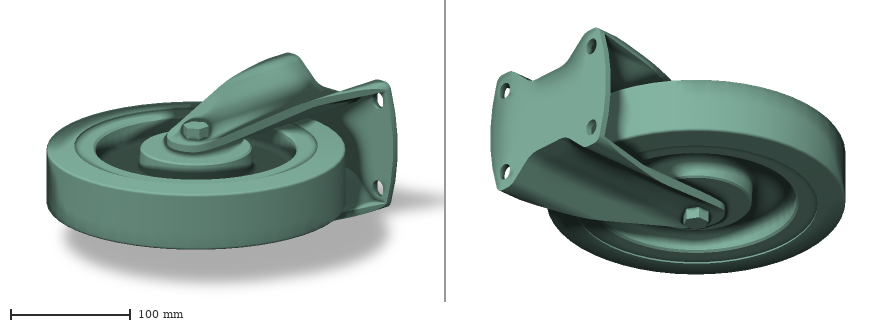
import cadquery as cq
import math


wheel_diameter = 250.0
total_length = 295.0
total_height = 110.0

tread_half_width = 22.5
tread_corner_round = 2.0
tread_crown_half_width = 26.3
rim_radius = 203.3 / 2
rim_half_width = 24.8
recess_radius = 84.0
recess_chamfer = 1.8
recess_foot_radius = 83.0
recess_fillet = 5.3
web_half_thickness = 6.0
hub_radius = 46.5
hub_chamfer = 1.5
hub_foot_radius = 47.5
hub_fillet = 4.5
hub_half_width = 25.7

sheet = 6.0
crest_z = total_height / 2
crest_flat_start = 49.3
crest_bend_radius = 12.5
trough_z = 34.2
trough_flat_end = 14.0
trough_bend_radius = 19.0
leg_edge_round = 7.5
leg_half_width = 62.5
leg_tip_radius = 24.2

plate_thickness = 5.5
plate_middle_half_width = 70.2
hole_width = 12.0
hole_length = 14.2
hole_x = 52.5
hole_z = 38.5

spacer_diameter = 25.0
hex_across_flats = 19.0
bolt_half_length = 44.2

wheel_radius = wheel_diameter / 2
plate_back_y = total_length - wheel_radius
plate_front_y = plate_back_y - plate_thickness


def wheel():
    """Solid of revolution; the tread stands slightly proud of the rim it surrounds."""
    shoulder_radius = wheel_radius - tread_corner_round
    shoulder_z = tread_half_width + tread_corner_round
    band = (
        cq.Workplane("XY", origin=(0, 0, -tread_half_width))
        .circle(wheel_radius)
        .circle(rim_radius)
        .extrude(2 * tread_half_width)
    )
    half = (
        cq.Workplane("XZ")
        .lineTo(rim_radius, 0)
        .lineTo(rim_radius, tread_half_width)
        .lineTo(wheel_radius, tread_half_width)
        .radiusArc((shoulder_radius, shoulder_z), -tread_corner_round)
        .lineTo(rim_radius, tread_crown_half_width)
        .lineTo(rim_radius, rim_half_width)
        .lineTo(recess_radius + recess_chamfer, rim_half_width)
        .lineTo(recess_radius, rim_half_width - recess_chamfer)
        .lineTo(recess_foot_radius, web_half_thickness + recess_fillet)
        .radiusArc((recess_foot_radius - recess_fillet, web_half_thickness), recess_fillet)
        .lineTo(hub_foot_radius + hub_fillet, web_half_thickness)
        .radiusArc((hub_foot_radius, web_half_thickness + hub_fillet), hub_fillet)
        .lineTo(hub_radius, hub_half_width - hub_chamfer)
        .lineTo(hub_radius - hub_chamfer, hub_half_width)
        .lineTo(0, hub_half_width)
        .close()
        .revolve(360, (0, 0), (0, 1))
    )
    return band.union(half).union(half.mirror("XY"))


def flank_angle():
    """Slope of the straight flank that is tangent to the crest bend and the trough bend."""
    run = crest_flat_start - trough_flat_end
    both_radii = crest_bend_radius + trough_bend_radius
    centre_rise = both_radii - (crest_z - trough_z)
    return math.asin(both_radii / math.hypot(run, centre_rise)) - math.atan2(centre_rise, run)


def on_circle(x, z, radius, angle):
    """Point on a circle, with the angle measured from +Z towards -X."""
    return (x - radius * math.sin(angle), z + radius * math.cos(angle))


def fork_section(depth, edge):
    """Closed XZ section under the sheet surface at `depth`; `edge` draws its right-hand side."""
    slope = flank_angle()
    crest_radius = crest_bend_radius - depth
    trough_radius = trough_bend_radius + depth
    crest_centre_z = crest_z - crest_bend_radius
    trough_centre_z = trough_z + trough_bend_radius

    def crest_bend(angle):
        return on_circle(crest_flat_start, crest_centre_z, crest_radius, angle)

    def trough_bend(angle):
        return on_circle(trough_flat_end, trough_centre_z, -trough_radius, angle)

    quarter = (
        cq.Workplane("XZ", origin=(0, plate_back_y, 0))
        .lineTo(0, trough_z - depth)
        .lineTo(*trough_bend(0))
        .threePointArc(trough_bend(slope / 2), trough_bend(slope))
        .lineTo(*crest_bend(slope))
        .threePointArc(crest_bend(slope / 2), crest_bend(0))
    )
    return edge(quarter).close()


def rounded_edge(section):
    """Outer side of a leg: the crest rounds over down to the inner face of the sheet."""
    drop = leg_edge_round - sheet
    round_start = leg_half_width - math.sqrt(leg_edge_round**2 - drop**2)
    return (
        section.lineTo(round_start, crest_z)
        .radiusArc((leg_half_width, crest_z - sheet), leg_edge_round)
        .lineTo(leg_half_width, 0)
    )


def straight_edge(section):
    """Straight side in line with the leg edges."""
    return section.lineTo(leg_half_width, crest_z - sheet).lineTo(leg_half_width, 0)


def bulged_edge(section):
    """Side of the mounting plate: one arc that is widest at mid-height."""
    edge_z = crest_z - sheet
    bulge = plate_middle_half_width - leg_half_width
    bulge_radius = (edge_z**2 + bulge**2) / (2 * bulge)
    return section.lineTo(leg_half_width, edge_z).radiusArc((plate_middle_half_width, 0), bulge_radius)


def mirror_quarter(quarter):
    half = quarter.union(quarter.mirror("YZ"))
    return half.union(half.mirror("XY"))


def leg_outline():
    """Outline of a leg: sides tangent to the round tip, then straight across the plate."""
    corner_distance = math.hypot(leg_half_width, plate_front_y)
    tangent_angle = math.atan2(plate_front_y, leg_half_width) - math.acos(leg_tip_radius / corner_distance)
    tangent_x = leg_tip_radius * math.cos(tangent_angle)
    tangent_y = leg_tip_radius * math.sin(tangent_angle)
    return (
        cq.Workplane("XY", origin=(0, 0, -total_height / 2))
        .moveTo(leg_half_width, plate_back_y)
        .lineTo(leg_half_width, plate_front_y)
        .lineTo(tangent_x, tangent_y)
        .threePointArc((0, -leg_tip_radius), (-tangent_x, tangent_y))
        .lineTo(-leg_half_width, plate_front_y)
        .lineTo(-leg_half_width, plate_back_y)
        .close()
        .extrude(total_height)
    )


def legs():
    length = plate_back_y + leg_tip_radius
    outer = fork_section(0, rounded_edge).extrude(length)
    inner = fork_section(sheet, straight_edge).extrude(length)
    return mirror_quarter(outer.cut(inner)).intersect(leg_outline())


def mounting_plate():
    plate = mirror_quarter(fork_section(sheet, bulged_edge).extrude(plate_thickness))
    holes = (
        cq.Workplane("XZ", origin=(0, plate_back_y, 0))
        .rect(2 * hole_x, 2 * hole_z, forConstruction=True)
        .vertices()
        .slot2D(hole_length, hole_width, 90)
        .extrude(plate_thickness)
    )
    return plate.cut(holes)


def axle():
    hex_across_corners = hex_across_flats / math.cos(math.pi / 6)
    bolt = (
        cq.Workplane("XY", origin=(0, 0, -bolt_half_length))
        .polygon(6, hex_across_corners)
        .extrude(2 * bolt_half_length)
        .rotate((0, 0, 0), (0, 0, 1), 30)
    )
    spacer_end = trough_z - sheet
    spacers = (
        cq.Workplane("XY", origin=(0, 0, -spacer_end))
        .circle(spacer_diameter / 2)
        .extrude(2 * spacer_end)
    )
    return bolt.union(spacers)


result = wheel().union(axle()).union(legs()).union(mounting_plate())